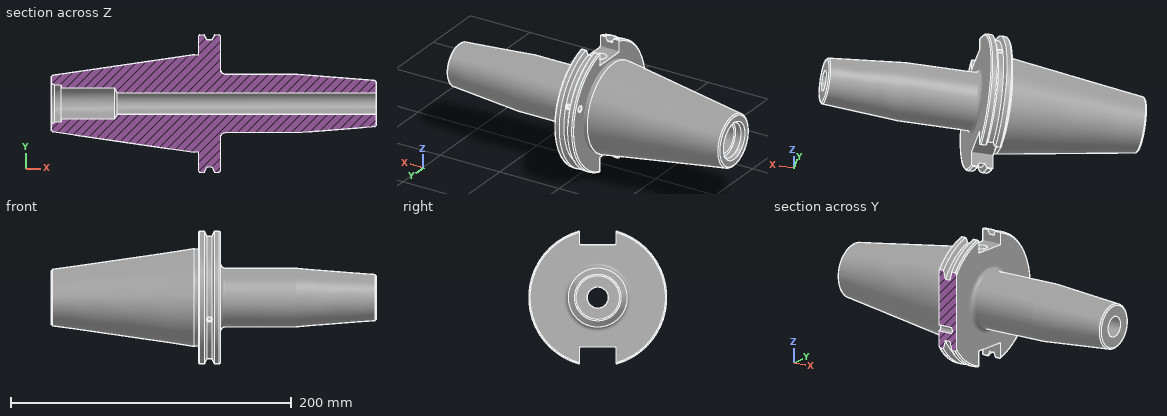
import cadquery as cq
import math


TAPER_LENGTH = 101.6
GAUGE_DIAMETER = 69.85
TAPER_RATIO = 7 / 24
TAPER_END_CHAMFER = 1.0

COLLAR_DIAMETER = 69.25
COLLAR_START = 1.4
COLLAR_FILLET = 0.4

FLANGE_DIAMETER = 98.425
FLANGE_START = 3.175
FLANGE_END = 19.05
FLANGE_CHAMFER = 1.0
GROOVE_FLOOR_DIAMETER = 91.2
GROOVE_FLOOR_WIDTH = 3.8
GROOVE_MOUTH_WIDTH = 7.1

DRILL_POINT_ANGLE = 120.0

SLOT_WIDTH = 25.8
SLOT_EDGE_CHAMFER = 0.5
SLOT_FLOOR_FILLET = 0.8
UPPER_SLOT_FLOOR = 37.7
LOWER_SLOT_FLOOR = 35.3

DIMPLE_DIAMETER = 9.53

NECK_DIAMETER = 42.0
NECK_FILLET = 3.5
NOSE_END = 130.0
NOSE_DIAMETER = 33.0
NOSE_HALF_ANGLE = 4.5
NOSE_CHAMFER = 1.0

BORE_MOUTH_DIAMETER = 29.0
BORE_MOUTH_ANGLE = 60.0
COUNTERBORE_DIAMETER = 26.2
COUNTERBORE_DEPTH = 7.0
THREAD_BORE_DIAMETER = 21.97
THREAD_BORE_DEPTH = 45.0
THROUGH_BORE_DIAMETER = 14.92

CHANNEL_ANGLE = 20.0
FACE_HOLE_MOUTH_DIAMETER = 5.0
FACE_HOLE_DIAMETER = 4.2
FACE_HOLE_DEPTH = 11.0
FACE_HOLE_CIRCLE_RADIUS = 42.0
GROOVE_HOLE_MOUTH_DIAMETER = 4.13
GROOVE_HOLE_DIAMETER = 3.24

TAPER_START = -TAPER_LENGTH
FLANGE_RADIUS = FLANGE_DIAMETER / 2
GROOVE_CENTER = (FLANGE_START + FLANGE_END) / 2


def cone_length(large_radius, small_radius, included_angle):
    """Axial length of a cone between two radii."""
    return (large_radius - small_radius) / math.tan(math.radians(included_angle / 2))


def make_body():
    """Revolve the outer profile, drawn as (x, radius), about the X axis."""
    gauge_radius = GAUGE_DIAMETER / 2
    taper_end_radius = gauge_radius - TAPER_LENGTH * TAPER_RATIO / 2
    taper_chamfer_radius = taper_end_radius + TAPER_END_CHAMFER * TAPER_RATIO / 2
    collar_radius = COLLAR_DIAMETER / 2
    floor_radius = GROOVE_FLOOR_DIAMETER / 2
    neck_radius = NECK_DIAMETER / 2
    nose_radius = NOSE_DIAMETER / 2
    nose_slope = math.tan(math.radians(NOSE_HALF_ANGLE))
    nose_start = NOSE_END - (neck_radius - nose_radius) / nose_slope
    half_mouth = GROOVE_MOUTH_WIDTH / 2
    half_floor = GROOVE_FLOOR_WIDTH / 2
    arc_inset = 1 - math.sqrt(0.5)

    profile = (
        cq.Workplane("XY")
        .moveTo(TAPER_START, 0)
        .lineTo(TAPER_START, taper_end_radius - TAPER_END_CHAMFER)
        .lineTo(TAPER_START + TAPER_END_CHAMFER, taper_chamfer_radius)
        .lineTo(0, gauge_radius)
        .lineTo(COLLAR_START, collar_radius)
        .lineTo(FLANGE_START - COLLAR_FILLET, collar_radius)
        .threePointArc(
            (FLANGE_START - COLLAR_FILLET * arc_inset, collar_radius + COLLAR_FILLET * arc_inset),
            (FLANGE_START, collar_radius + COLLAR_FILLET),
        )
        .lineTo(FLANGE_START, FLANGE_RADIUS - FLANGE_CHAMFER)
        .lineTo(FLANGE_START + FLANGE_CHAMFER, FLANGE_RADIUS)
        .lineTo(GROOVE_CENTER - half_mouth, FLANGE_RADIUS)
        .lineTo(GROOVE_CENTER - half_floor, floor_radius)
        .lineTo(GROOVE_CENTER + half_floor, floor_radius)
        .lineTo(GROOVE_CENTER + half_mouth, FLANGE_RADIUS)
        .lineTo(FLANGE_END - FLANGE_CHAMFER, FLANGE_RADIUS)
        .lineTo(FLANGE_END, FLANGE_RADIUS - FLANGE_CHAMFER)
        .lineTo(FLANGE_END, neck_radius + NECK_FILLET)
        .threePointArc(
            (FLANGE_END + NECK_FILLET * arc_inset, neck_radius + NECK_FILLET * arc_inset),
            (FLANGE_END + NECK_FILLET, neck_radius),
        )
        .lineTo(nose_start, neck_radius)
        .lineTo(NOSE_END - NOSE_CHAMFER, nose_radius + NOSE_CHAMFER * nose_slope)
        .lineTo(NOSE_END, nose_radius - NOSE_CHAMFER)
        .lineTo(NOSE_END, 0)
        .close()
    )
    return profile.revolve(360, (0, 0, 0), (1, 0, 0))


def make_axial_bores():
    """Threaded-end bore: chamfered counterbore, thread bore with drill point, through bore."""
    mouth_radius = BORE_MOUTH_DIAMETER / 2
    counterbore_radius = COUNTERBORE_DIAMETER / 2
    thread_radius = THREAD_BORE_DIAMETER / 2
    through_radius = THROUGH_BORE_DIAMETER / 2
    thread_end = TAPER_START + THREAD_BORE_DEPTH
    point_length = cone_length(thread_radius, through_radius, DRILL_POINT_ANGLE)
    mouth_length = cone_length(mouth_radius, counterbore_radius, BORE_MOUTH_ANGLE)
    profile = (
        cq.Workplane("XY")
        .moveTo(TAPER_START, 0)
        .lineTo(TAPER_START, mouth_radius)
        .lineTo(TAPER_START + mouth_length, counterbore_radius)
        .lineTo(TAPER_START + COUNTERBORE_DEPTH, counterbore_radius)
        .lineTo(TAPER_START + COUNTERBORE_DEPTH, thread_radius)
        .lineTo(thread_end, thread_radius)
        .lineTo(thread_end + point_length, through_radius)
        .lineTo(NOSE_END, through_radius)
        .lineTo(NOSE_END, 0)
        .close()
    )
    return profile.revolve(360, (0, 0, 0), (1, 0, 0))


def make_drive_slot(floor, side):
    """Slot across the flange; side is +1 for the upper slot and -1 for the lower one."""
    half_width = SLOT_WIDTH / 2
    half_mouth = half_width + SLOT_EDGE_CHAMFER
    rim = math.sqrt(FLANGE_RADIUS**2 - half_mouth**2)
    section = [
        (-half_width, side * floor),
        (-half_width, side * (rim - SLOT_EDGE_CHAMFER)),
        (-half_mouth, side * rim),
        (-half_mouth, side * FLANGE_RADIUS),
        (half_mouth, side * FLANGE_RADIUS),
        (half_mouth, side * rim),
        (half_width, side * (rim - SLOT_EDGE_CHAMFER)),
        (half_width, side * floor),
    ]
    slot = (
        cq.Workplane("YZ", origin=(FLANGE_START, 0, 0))
        .polyline(section)
        .close()
        .extrude(FLANGE_END - FLANGE_START)
    )
    floor_face = "<Z" if side > 0 else ">Z"
    return slot.faces(floor_face).edges("|X").fillet(SLOT_FLOOR_FILLET)


def make_dimple():
    """Conical dimple sunk into the upper slot floor."""
    radius = DIMPLE_DIAMETER / 2
    depth = cone_length(radius, 0, DRILL_POINT_ANGLE)
    return cq.Workplane(
        cq.Solid.makeCone(
            radius, 0, depth, cq.Vector(GROOVE_CENTER, 0, UPPER_SLOT_FLOOR), cq.Vector(0, 0, -1)
        )
    )


def make_countersunk_hole(mouth_diameter, diameter, depth, mouth_center, direction):
    """Cylindrical hole with a 90 degree countersink at its mouth."""
    radius = diameter / 2
    mouth_radius = mouth_diameter / 2
    countersink_depth = mouth_radius - radius
    hole = cq.Solid.makeCylinder(radius, depth, mouth_center, direction)
    countersink = cq.Solid.makeCone(mouth_radius, radius, countersink_depth, mouth_center, direction)
    return hole.fuse(countersink)


def make_coolant_channel(angle):
    """Axial drilled hole from the flange face, met by a radial hole from the groove floor."""
    axis = cq.Vector(1, 0, 0)
    outward = cq.Vector(0, math.cos(math.radians(angle)), math.sin(math.radians(angle)))
    axial_radius = FACE_HOLE_DIAMETER / 2
    floor_radius = GROOVE_FLOOR_DIAMETER / 2

    face_center = axis * FLANGE_START + outward * FACE_HOLE_CIRCLE_RADIUS
    axial_hole = make_countersunk_hole(
        FACE_HOLE_MOUTH_DIAMETER, FACE_HOLE_DIAMETER, FACE_HOLE_DEPTH, face_center, axis
    )
    point_length = cone_length(axial_radius, 0, DRILL_POINT_ANGLE)
    point_base = face_center + axis * FACE_HOLE_DEPTH
    drill_point = cq.Solid.makeCone(axial_radius, 0, point_length, point_base, axis)

    floor_center = axis * GROOVE_CENTER + outward * floor_radius
    radial_depth = floor_radius - FACE_HOLE_CIRCLE_RADIUS
    radial_hole = make_countersunk_hole(
        GROOVE_HOLE_MOUTH_DIAMETER, GROOVE_HOLE_DIAMETER, radial_depth, floor_center, -outward
    )
    return cq.Workplane(axial_hole.fuse(drill_point, radial_hole))


result = make_body().cut(make_axial_bores())
result = result.cut(make_drive_slot(UPPER_SLOT_FLOOR, 1))
result = result.cut(make_drive_slot(LOWER_SLOT_FLOOR, -1))
result = result.cut(make_dimple())
for channel_angle in (CHANNEL_ANGLE, CHANNEL_ANGLE + 180):
    result = result.cut(make_coolant_channel(channel_angle))